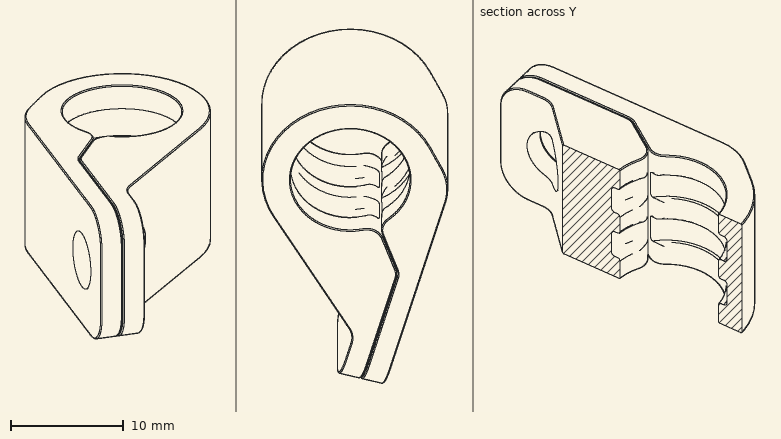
import cadquery as cq
import math

width = 12.7
ring_radius = 7.85
bore_radius = 5.3
base_y = -8.79
end_x = 21.1
edge_chamfer = 0.1

heel_radius = 5.0
slope_angle = 44.6
tab_fillet = 2.0

tab_thickness = 2.0
slit_width = 0.1
slit_angle = 35.0
slit_bend_x = 8.35
slit_bend_radius = 1.5
lip_radius = 1.5
tab_corner_radius = 3.0

screw_x = 15.6
screw_radius = 2.6

groove_radius = 6.2
groove_width = 3.4
groove_round = 0.3
groove_offset = 2.55

tab_top_y = base_y + 2 * tab_thickness + slit_width
slit_mid_y = base_y + tab_thickness + slit_width / 2


def on_circle(center_y, radius, angle):
    """Point of a circle centred on the Y axis, angle in radians."""
    return (radius * math.cos(angle), center_y + radius * math.sin(angle))


def extrude_through(sketch):
    """Extrude a closed outline over the full width."""
    return sketch.extrude(width / 2, both=True)


def fillet_upright_edge(body, x, y, radius):
    """Round the full-width edge nearest to (x, y)."""
    upright = body.edges("|Z")
    return upright.edges(cq.NearestToPointSelector((x, y, 0))).fillet(radius)


def clamp_blank():
    """Ring, heel and tabs as one solid outline."""
    slope = math.radians(slope_angle)
    slope_start = on_circle(0, ring_radius, slope)
    slope_end_x = (ring_radius - tab_top_y * math.sin(slope)) / math.cos(slope)

    heel_y = base_y + heel_radius
    heel_tilt = math.acos((ring_radius - heel_radius) / -heel_y)
    heel_normal = -math.pi / 2 - heel_tilt
    heel_mid = -math.pi / 2 - heel_tilt / 2

    outline = (
        cq.Workplane("XY")
        .moveTo(end_x, base_y)
        .lineTo(end_x, tab_top_y)
        .lineTo(slope_end_x, tab_top_y)
        .lineTo(*slope_start)
        .threePointArc((-ring_radius, 0), on_circle(0, ring_radius, heel_normal))
        .lineTo(*on_circle(heel_y, heel_radius, heel_normal))
        .threePointArc(on_circle(heel_y, heel_radius, heel_mid), (0, base_y))
        .close()
    )
    blank = fillet_upright_edge(extrude_through(outline), slope_end_x, tab_top_y, tab_fillet)
    return blank.edges("|Y and >X").fillet(tab_corner_radius)


def cut_bore_and_slit(body):
    """Open the ring with the bore and the bent slit, then round the slit."""
    tilt = math.radians(slit_angle)
    half = slit_width / 2
    bend_shift = half * math.tan(tilt / 2)
    upper_bend = (slit_bend_x + bend_shift, slit_mid_y + half)
    lower_bend = (slit_bend_x - bend_shift, slit_mid_y - half)
    run = slit_bend_x
    inward = (-run * math.cos(tilt), run * math.sin(tilt))
    slit = (
        cq.Workplane("XY")
        .moveTo(end_x, upper_bend[1])
        .lineTo(*upper_bend)
        .line(*inward)
        .lineTo(lower_bend[0] + inward[0], lower_bend[1] + inward[1])
        .lineTo(*lower_bend)
        .lineTo(end_x, lower_bend[1])
        .close()
    )
    bore = cq.Workplane("XY").circle(bore_radius)
    body = body.cut(extrude_through(bore)).cut(extrude_through(slit))

    body = fillet_upright_edge(body, *upper_bend, slit_bend_radius)
    body = fillet_upright_edge(body, *lower_bend, slit_bend_radius)

    for bend in (upper_bend, lower_bend):
        wall_distance = bend[0] * math.sin(tilt) + bend[1] * math.cos(tilt)
        lip_angle = math.asin(wall_distance / bore_radius) - tilt
        body = fillet_upright_edge(body, *on_circle(0, bore_radius, lip_angle), lip_radius)
    return body


def cut_bore_groove(body, center_z):
    """Cut a groove with a rounded mouth and rounded bottom corners into the bore."""
    mouth_half = groove_width / 2
    side_half = mouth_half - groove_round
    floor_half = side_half - groove_round
    mouth_x = bore_radius + groove_round
    side_x = groove_radius - groove_round
    arc_short = groove_round * (1 - math.sqrt(0.5))
    inner_x = bore_radius / 2
    section = (
        cq.Workplane("XZ")
        .moveTo(inner_x, mouth_half)
        .lineTo(bore_radius, mouth_half)
        .threePointArc((bore_radius + arc_short, side_half + arc_short), (mouth_x, side_half))
        .lineTo(side_x, side_half)
        .threePointArc((groove_radius - arc_short, side_half - arc_short), (groove_radius, floor_half))
        .lineTo(groove_radius, -floor_half)
        .threePointArc((groove_radius - arc_short, -side_half + arc_short), (side_x, -side_half))
        .lineTo(mouth_x, -side_half)
        .threePointArc((bore_radius + arc_short, -side_half - arc_short), (bore_radius, -mouth_half))
        .lineTo(inner_x, -mouth_half)
        .close()
    )
    cutter = section.revolve(360, (0, 0, 0), (0, 1, 0))
    return body.cut(cutter.translate((0, 0, center_z)))


def cut_screw_hole(body):
    """Cut the clamp screw hole through both tabs and the foot of the slope."""
    hole = (
        cq.Workplane("XZ", origin=(screw_x, ring_radius, 0))
        .circle(screw_radius)
        .extrude(ring_radius - base_y)
    )
    return body.cut(hole)


clamp = cut_bore_and_slit(clamp_blank())
clamp = clamp.faces("|Z").edges().chamfer(edge_chamfer)
for groove_z in (-groove_offset, groove_offset):
    clamp = cut_bore_groove(clamp, groove_z)
result = cut_screw_hole(clamp)